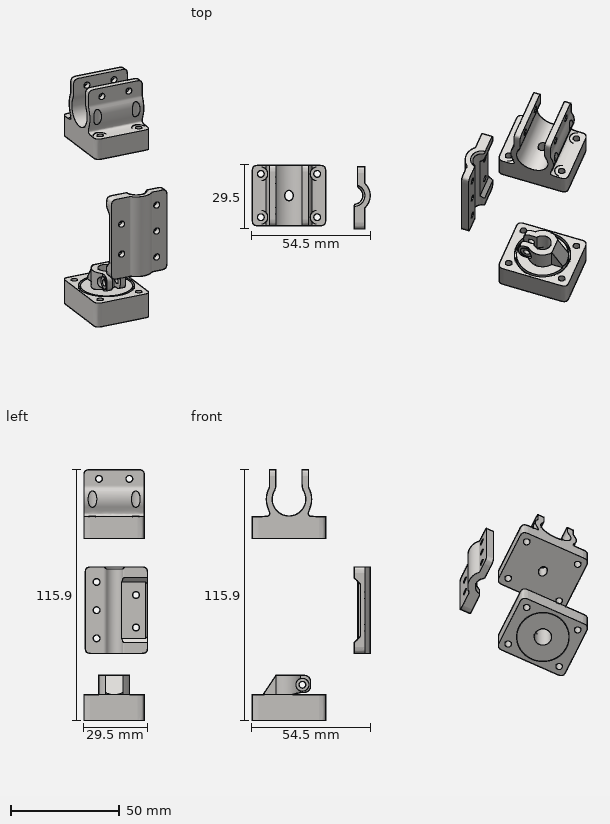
import cadquery as cq
import math

BASE_X = 34.0
BASE_Y = 28.0
CORNER_REACH = 3.0
CORNER_FULLNESS = 0.75
SCREW_D = 3.0
SCREW_INSET = 4.0
SCREW_X = BASE_X / 2 - SCREW_INSET
SCREW_Y = BASE_Y / 2 - SCREW_INSET
SCREW_POINTS = [(sx * SCREW_X, sy * SCREW_Y) for sx in (-1, 1) for sy in (-1, 1)]

BOX_H = 12.0
BOX_BORE_D = 24.3
GROOVE_D = 26.0
GROOVE_DEPTH = 2.0

DISC_D = 24.0
CLAMP_D = 14.3
CLAMP_BORE_D = 8.0
CLAMP_H = 9.0
CLAMP_TOP = BOX_H + CLAMP_H
RIB_HALF_WIDTH = 4.0
RIB_RUN = 6.0
ARM_END_X = 10.0
ARM_HALF_WIDTH = 4.8
ARM_H = 8.0
ARM_TIP_R = 3.0
SLIT_WIDTH = 4.0
CLAMP_SCREW_X = 6.2
CLAMP_SCREW_Z = CLAMP_TOP - 4.4
SPOTFACE_D = 6.0
SPOTFACE_DEPTH = 0.3
UNDERCUT_START_X = 1.2
UNDERCUT_END_X = 5.5

CLIP_Z = 84.0
CLIP_BASE_H = 10.2
CLIP_TOP = 115.87
RING_Z = CLIP_Z + 18.2
RING_BORE_R = 7.7
RING_OUTER_R = 10.5
JAW_INNER_X = 6.0
JAW_WALL = 3.0
JAW_OUTER_X = JAW_INNER_X + JAW_WALL
RING_FILLET_R = 3.0
THROAT_FILLET_R = 6.0
FOOT_FULLNESS = 0.9
JAW_HOLE_Y = 7.0
JAW_HOLE_DROP = 4.3
SEAT_D = 6.4
DRAIN_X = 3.9
DRAIN_Y = 4.7

PLATE_X = 30.0
PLATE_Z = 31.0
PLATE_H = 40.0
PLATE_BACK = 5.0
PLATE_Y_MAX = 13.4
PLATE_Y_MIN = -15.46
THIN_FACE = 1.5
CHANNEL_R = 4.0
CHANNEL_OUTER_R = 7.52
CHANNEL_THIN_FILLET_R = 2.0
CHANNEL_THICK_FILLET_R = 1.0
CHANNEL_BACK_FILLET_R = 1.0
CHANNEL_CHAMFER = 1.0
POCKET_DEPTH = 2.0
POCKET_LIP = 5.0
POCKET_EDGE_CHAMFER = 1.0
THIN_HOLE_Y = 8.1
THIN_HOLE_PITCH = 13.0
THICK_HOLE_Y = -10.1
THICK_HOLE_OFFSETS = (-8.0, 7.0)


def soft_rectangle(plane, width, height):
    """Rectangle whose corners are conic blends, fuller than circular fillets of the same reach."""
    half_w = width / 2
    half_h = height / 2
    handle = CORNER_REACH * (1 - CORNER_FULLNESS)
    inset_w = half_w - CORNER_REACH
    inset_h = half_h - CORNER_REACH
    control_w = half_w - handle
    control_h = half_h - handle
    return (
        cq.Workplane(plane)
        .moveTo(-inset_w, -half_h)
        .lineTo(inset_w, -half_h)
        .bezier([(control_w, -half_h), (half_w, -control_h), (half_w, -inset_h)], includeCurrent=True)
        .lineTo(half_w, inset_h)
        .bezier([(half_w, control_h), (control_w, half_h), (inset_w, half_h)], includeCurrent=True)
        .lineTo(-inset_w, half_h)
        .bezier([(-control_w, half_h), (-half_w, control_h), (-half_w, inset_h)], includeCurrent=True)
        .lineTo(-half_w, -inset_h)
        .bezier([(-half_w, -control_h), (-control_w, -half_h), (-inset_w, -half_h)], includeCurrent=True)
        .close()
    )


def base_block(height, z):
    """Upright block on the shared footprint."""
    return soft_rectangle("XY", BASE_X, BASE_Y).extrude(height).translate((0, 0, z))


def upright_cylinder(diameter, height, z):
    return cq.Workplane("XY", origin=(0, 0, z)).circle(diameter / 2).extrude(height)


def screw_holes(diameter, height, z):
    """Upright cylinders at the four corner screws."""
    return cq.Workplane("XY", origin=(0, 0, z)).pushPoints(SCREW_POINTS).circle(diameter / 2).extrude(height)


def fillet_center(face_x, circle_r, fillet_r, side=1):
    """Centre of a fillet between the line x = face_x and a circle about the origin."""
    x = face_x + fillet_r
    return cq.Vector(x, side * math.sqrt((circle_r + fillet_r) ** 2 - x**2))


def blend_arc(center, radius):
    """Arc of such a fillet: its points on the line, midway and on the circle."""
    toward_line = cq.Vector(-1, 0)
    toward_circle = center.normalized() * -1
    directions = (toward_line, (toward_line + toward_circle).normalized(), toward_circle)
    points = [center + direction * radius for direction in directions]
    return [(point.x, point.y) for point in points]


def make_box():
    box = base_block(BOX_H, 0)
    box = box.cut(upright_cylinder(BOX_BORE_D, BOX_H, 0))
    box = box.cut(upright_cylinder(GROOVE_D, GROOVE_DEPTH, BOX_H - GROOVE_DEPTH))
    return box.cut(screw_holes(SCREW_D, BOX_H, 0))


def make_clamp_rib():
    """Wedge that runs from the clamp top down to the rim of the disc."""
    foot_x = -DISC_D / 2
    wedge = (
        cq.Workplane("XZ")
        .moveTo(foot_x, BOX_H)
        .lineTo(foot_x + RIB_RUN, CLAMP_TOP)
        .lineTo(0, CLAMP_TOP)
        .lineTo(0, BOX_H)
        .close()
        .extrude(RIB_HALF_WIDTH, both=True)
    )
    return wedge.intersect(upright_cylinder(DISC_D, CLAMP_TOP, 0))


def make_clamp_arms():
    """Block with rounded tips that the slit later divides into two arms."""
    arms = cq.Workplane("XY").box(ARM_END_X, 2 * ARM_HALF_WIDTH, ARM_H, centered=(False, True, False))
    arms = arms.edges("|Y and >X").fillet(ARM_TIP_R)
    return arms.translate((0, 0, CLAMP_TOP - ARM_H))


def make_swivel():
    clamp = upright_cylinder(CLAMP_D, CLAMP_H, BOX_H)
    clamp = clamp.union(make_clamp_arms())

    arm_bottom = CLAMP_TOP - ARM_H
    undercut = (
        cq.Workplane("XZ")
        .moveTo(UNDERCUT_START_X, BOX_H)
        .lineTo(UNDERCUT_END_X, arm_bottom)
        .lineTo(ARM_END_X, arm_bottom)
        .lineTo(ARM_END_X, BOX_H)
        .close()
        .extrude(CLAMP_D, both=True)
    )
    clamp = clamp.cut(undercut)

    rib_front_x = RIB_RUN - DISC_D / 2
    behind_rib = cq.Workplane("XY").box(CLAMP_D, CLAMP_D, CLAMP_H, centered=(False, True, False))
    clamp = clamp.cut(behind_rib.translate((rib_front_x - CLAMP_D, 0, BOX_H)))
    clamp = clamp.union(make_clamp_rib())

    slit = cq.Workplane("XY").box(ARM_END_X, SLIT_WIDTH, CLAMP_H, centered=(False, True, False))
    clamp = clamp.cut(slit.translate((0, 0, BOX_H)))

    screw_axis = cq.Workplane("XZ").center(CLAMP_SCREW_X, CLAMP_SCREW_Z)
    clamp = clamp.cut(screw_axis.circle(SCREW_D / 2).extrude(CLAMP_D, both=True))
    seat_y = ARM_HALF_WIDTH - SPOTFACE_DEPTH
    for side in (-1, 1):
        spotface = screw_axis.workplane(offset=side * seat_y).circle(SPOTFACE_D / 2).extrude(side * CLAMP_D)
        clamp = clamp.cut(spotface)

    swivel = upright_cylinder(DISC_D, BOX_H, 0).union(clamp)
    return swivel.cut(upright_cylinder(CLAMP_BORE_D, CLAMP_TOP, 0))


def mirrored(point):
    """The same point on the -X side."""
    return (-point[0], point[1])


def foot_curve(base_top):
    """Bezier points of the full blend from the base up to the ring."""
    reach = RING_OUTER_R + RING_FILLET_R
    center_z = base_top + RING_FILLET_R
    center = cq.Vector(math.sqrt(reach**2 - center_z**2), center_z)
    on_base = cq.Vector(center.x, base_top)
    on_ring = center * (RING_OUTER_R / reach)
    ring_normal = center.normalized()
    corner_x = (RING_OUTER_R - ring_normal.y * base_top) / ring_normal.x
    corner = cq.Vector(corner_x, base_top)
    base_control = on_base + (corner - on_base) * FOOT_FULLNESS
    ring_control = on_ring + (corner - on_ring) * FOOT_FULLNESS
    return [(point.x, point.y) for point in (on_base, base_control, ring_control, on_ring)]


def make_clip_outline():
    """Closed XZ outline of base, ring and jaws, symmetric about the ring axis."""
    base_bottom = CLIP_Z - RING_Z
    base_top = base_bottom + CLIP_BASE_H
    jaw_top = CLIP_TOP - RING_Z
    foot = foot_curve(base_top)
    jaw = blend_arc(fillet_center(JAW_OUTER_X, RING_OUTER_R, RING_FILLET_R), RING_FILLET_R)
    throat = blend_arc(fillet_center(JAW_INNER_X, RING_BORE_R, THROAT_FILLET_R), THROAT_FILLET_R)

    return (
        cq.Workplane("XZ", origin=(0, BASE_Y / 2, RING_Z))
        .moveTo(-BASE_X / 2, base_bottom)
        .lineTo(BASE_X / 2, base_bottom)
        .lineTo(BASE_X / 2, base_top)
        .lineTo(*foot[0])
        .bezier(foot)
        .threePointArc((RING_OUTER_R, 0), jaw[2])
        .threePointArc(jaw[1], jaw[0])
        .lineTo(JAW_OUTER_X, jaw_top)
        .lineTo(JAW_INNER_X, jaw_top)
        .lineTo(*throat[0])
        .threePointArc(throat[1], throat[2])
        .threePointArc((0, -RING_BORE_R), mirrored(throat[2]))
        .threePointArc(mirrored(throat[1]), mirrored(throat[0]))
        .lineTo(-JAW_INNER_X, jaw_top)
        .lineTo(-JAW_OUTER_X, jaw_top)
        .lineTo(*mirrored(jaw[0]))
        .threePointArc(mirrored(jaw[1]), mirrored(jaw[2]))
        .threePointArc((-RING_OUTER_R, 0), mirrored(foot[-1]))
        .bezier([mirrored(point) for point in reversed(foot)])
        .lineTo(-BASE_X / 2, base_top)
        .close()
    )


def make_clip():
    clip = make_clip_outline().extrude(BASE_Y)
    clip = clip.intersect(base_block(CLIP_TOP - CLIP_Z, CLIP_Z))
    side_height = 2 * (CLIP_TOP - CLIP_Z)
    side_prism = soft_rectangle("YZ", BASE_Y, side_height).extrude(BASE_X / 2, both=True)
    clip = clip.intersect(side_prism.translate((0, 0, CLIP_Z)))

    jaw_hole_z = CLIP_TOP - JAW_HOLE_DROP
    jaw_holes = (
        cq.Workplane("YZ")
        .pushPoints([(-JAW_HOLE_Y, jaw_hole_z), (JAW_HOLE_Y, jaw_hole_z)])
        .circle(SCREW_D / 2)
        .extrude(BASE_X, both=True)
    )
    clip = clip.cut(jaw_holes)

    seat_z = CLIP_Z + CLIP_BASE_H
    clip = clip.cut(screw_holes(SCREW_D, CLIP_BASE_H, CLIP_Z))
    clip = clip.cut(screw_holes(SEAT_D, RING_Z - seat_z + JAW_INNER_X, seat_z))
    drain = cq.Workplane("XY", origin=(0, 0, CLIP_Z)).ellipse(DRAIN_X / 2, DRAIN_Y / 2)
    return clip.cut(drain.extrude(RING_Z - CLIP_Z))


def make_plate_section():
    """Plate cross-section, measured from the thick flange's face and the channel axis."""
    thin = blend_arc(fillet_center(THIN_FACE, CHANNEL_R, CHANNEL_THIN_FILLET_R, 1), CHANNEL_THIN_FILLET_R)
    thick = blend_arc(fillet_center(0, CHANNEL_R, CHANNEL_THICK_FILLET_R, -1), CHANNEL_THICK_FILLET_R)
    back_top = blend_arc(
        fillet_center(PLATE_BACK, CHANNEL_OUTER_R, CHANNEL_BACK_FILLET_R, 1), CHANNEL_BACK_FILLET_R
    )
    back_low = blend_arc(
        fillet_center(PLATE_BACK, CHANNEL_OUTER_R, CHANNEL_BACK_FILLET_R, -1), CHANNEL_BACK_FILLET_R
    )
    return (
        cq.Workplane("XY", origin=(PLATE_X, 0, PLATE_Z))
        .moveTo(THIN_FACE, PLATE_Y_MAX)
        .lineTo(*thin[0])
        .threePointArc(thin[1], thin[2])
        .threePointArc((CHANNEL_R, 0), thick[2])
        .threePointArc(thick[1], thick[0])
        .lineTo(0, PLATE_Y_MIN)
        .lineTo(PLATE_BACK, PLATE_Y_MIN)
        .lineTo(*back_low[0])
        .threePointArc(back_low[1], back_low[2])
        .threePointArc((CHANNEL_OUTER_R, 0), back_top[2])
        .threePointArc(back_top[1], back_top[0])
        .lineTo(PLATE_BACK, PLATE_Y_MAX)
        .close()
    )


def make_pocket():
    """Pocket in the thick flange, with sloping ends and an outer edge chamfer."""
    mid_z = PLATE_Z + PLATE_H / 2
    half_open = PLATE_H / 2 - POCKET_LIP

    def trapezoid(depth, y_start, length):
        half_floor = half_open - depth
        return (
            cq.Workplane("XZ", origin=(PLATE_X, y_start, mid_z))
            .moveTo(0, -half_open)
            .lineTo(depth, -half_floor)
            .lineTo(depth, half_floor)
            .lineTo(0, half_open)
            .close()
            .extrude(length)
        )

    pocket = trapezoid(POCKET_DEPTH, 0, -PLATE_Y_MIN)
    edge_depth = POCKET_DEPTH + POCKET_EDGE_CHAMFER
    edge = trapezoid(edge_depth, PLATE_Y_MIN + POCKET_EDGE_CHAMFER, POCKET_EDGE_CHAMFER)
    bevel = (
        cq.Workplane("XY", origin=(PLATE_X, PLATE_Y_MIN, PLATE_Z))
        .moveTo(0, POCKET_EDGE_CHAMFER)
        .lineTo(POCKET_DEPTH, POCKET_EDGE_CHAMFER)
        .lineTo(edge_depth, 0)
        .lineTo(0, 0)
        .close()
        .extrude(PLATE_H)
    )
    return pocket.union(edge.intersect(bevel))


def make_plate():
    plate = make_plate_section().extrude(PLATE_H)
    mid_z = PLATE_Z + PLATE_H / 2
    side_prism = soft_rectangle("YZ", PLATE_Y_MAX - PLATE_Y_MIN, PLATE_H).extrude(CHANNEL_OUTER_R)
    plate = plate.intersect(side_prism.translate((PLATE_X, (PLATE_Y_MAX + PLATE_Y_MIN) / 2, mid_z)))
    plate = plate.cut(make_pocket())
    mouth = cq.Solid.makeCone(
        CHANNEL_R, CHANNEL_R + CHANNEL_CHAMFER, CHANNEL_CHAMFER,
        pnt=cq.Vector(PLATE_X, 0, PLATE_Z + PLATE_H - CHANNEL_CHAMFER),
    )
    plate = plate.cut(cq.Workplane(mouth))

    points = [(THIN_HOLE_Y, mid_z + step * THIN_HOLE_PITCH) for step in (-1, 0, 1)]
    points += [(THICK_HOLE_Y, mid_z + offset) for offset in THICK_HOLE_OFFSETS]
    holes = cq.Workplane("YZ", origin=(PLATE_X, 0, 0)).pushPoints(points).circle(SCREW_D / 2)
    return plate.cut(holes.extrude(PLATE_BACK))


box = make_box()
swivel = make_swivel()
clip = make_clip()
plate = make_plate()

result = cq.Compound.makeCompound([box.val(), swivel.val(), clip.val(), plate.val()])